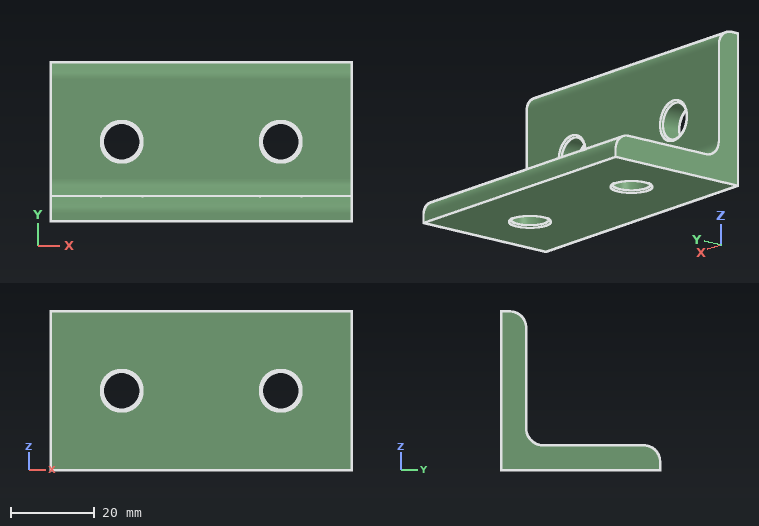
import cadquery as cq

length = 72.0
leg = 38.0
thickness = 6.0
round_radius = 4.0
hole_diameter = 9.0
hole_chamfer = 0.5
hole_spacing = 38.0
hole_offset = leg / 2

overshoot = 1.0


def angle_bar():
    """Equal-leg angle: outer corner at Y = Z = 0, inner corner and inner tip edges rounded."""
    profile = [
        (0, 0),
        (leg, 0),
        (leg, thickness),
        (thickness, thickness),
        (thickness, leg),
        (0, leg),
    ]
    bar = cq.Workplane("YZ").polyline(profile).close().extrude(length)
    rounded_points = [(leg, thickness), (thickness, thickness), (thickness, leg)]
    for y, z in rounded_points:
        bar = bar.edges(cq.selectors.NearestToPointSelector((length / 2, y, z))).fillet(round_radius)
    return bar


def chamfered_hole_cutter():
    """Through-hole cutter along +Z from the origin, flared at both leg faces."""
    radius = hole_diameter / 2
    flare_radius = radius + hole_chamfer
    half_profile = [
        (0, -overshoot),
        (flare_radius, -overshoot),
        (flare_radius, 0),
        (radius, hole_chamfer),
        (radius, thickness - hole_chamfer),
        (flare_radius, thickness),
        (flare_radius, thickness + overshoot),
        (0, thickness + overshoot),
    ]
    return cq.Workplane("XZ").polyline(half_profile).close().revolve(360, (0, 0, 0), (0, 1, 0))


def drill_legs(bar):
    """Cut two holes through the horizontal leg and two through the vertical leg."""
    vertical_cutter = chamfered_hole_cutter()
    horizontal_cutter = vertical_cutter.rotate((0, 0, 0), (1, 0, 0), -90)
    for side in (-1, 1):
        x = length / 2 + side * hole_spacing / 2
        bar = bar.cut(vertical_cutter.translate((x, hole_offset, 0)))
        bar = bar.cut(horizontal_cutter.translate((x, 0, hole_offset)))
    return bar


result = drill_legs(angle_bar())